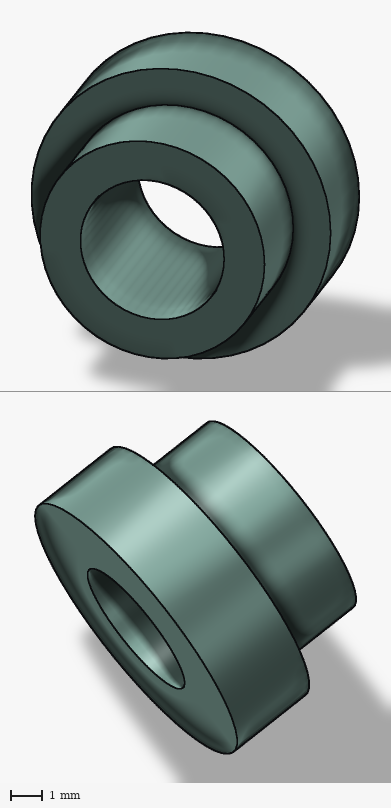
import cadquery as cq

flange_diameter = 10.0
neck_diameter = 7.5
bore_diameter = 4.8
flange_length = 3.0
neck_length = 3.0
total_length = flange_length + neck_length


def cylinder_along_y(diameter, length):
    """Solid cylinder starting at Y = 0 and growing toward +Y."""
    return cq.Workplane("XZ").circle(diameter / 2).extrude(-length)


neck = cylinder_along_y(neck_diameter, total_length)
flange = cylinder_along_y(flange_diameter, flange_length).translate((0, neck_length, 0))
bore = cylinder_along_y(bore_diameter, total_length)

result = neck.union(flange).cut(bore)